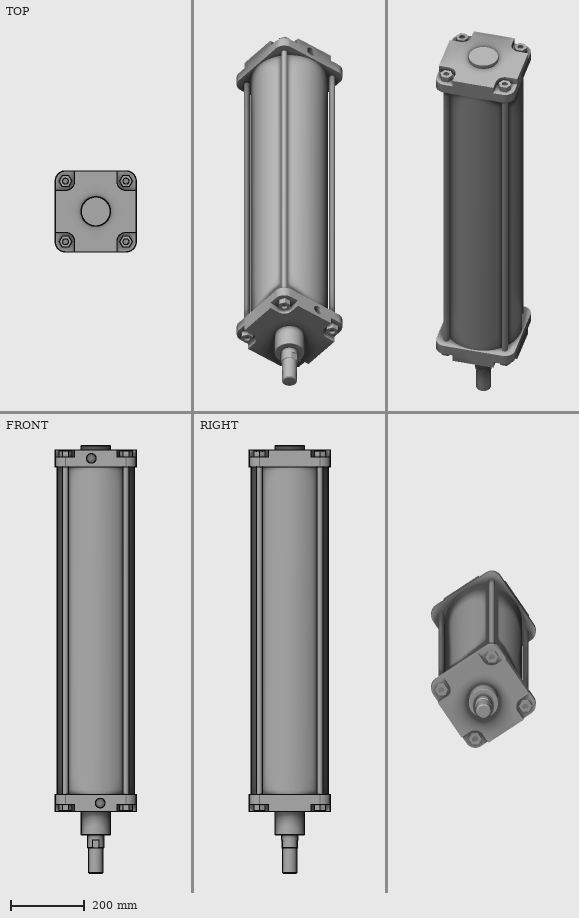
import cadquery as cq
import math


body_length = 980.0
front_cap_thickness = 47.0
rear_cap_thickness = 46.0
front_boss_length = 63.0
rear_boss_height = 12.0
barrel_length = body_length - front_cap_thickness - rear_cap_thickness

cap_width = 220.0
boss_diameter = 80.0
boss_chamfer = 1.0
barrel_diameter = 210.0

tie_rod_spacing = 164.0
tie_rod_diameter = 16.0
nut_flats = 30.0
nut_height = 16.0
tie_rod_projection = 8.0

pocket_depth = 19.0
pocket_radius = 25.0
corner_radius = (cap_width - tie_rod_spacing) / 2

port_diameter = 26.0
port_depth = 20.0
port_offset = 12.0

rod_diameter = 45.0
rod_round_length = 14.0
rod_flats = 41.0
rod_flats_length = 21.5
thread_diameter = 40.0
thread_length = 68.5
thread_chamfer = 3.0
shoulder_chamfer = 2.0

corner_signs = [(sx, sy) for sx in (-1, 1) for sy in (-1, 1)]
tie_rod_points = [(sx * tie_rod_spacing / 2, sy * tie_rod_spacing / 2) for sx, sy in corner_signs]


def round_bar(start, diameter, length):
    """Cylinder on the main axis that runs from z = start toward -Z."""
    return cq.Workplane("XY").workplane(offset=start).circle(diameter / 2).extrude(-length)


def corner_pocket(sx, sy):
    """Pocket around one nut, open to the two outer sides of the corner, floor at z = pocket_depth."""
    side = cap_width / 2 - tie_rod_spacing / 2 + pocket_radius
    center = cap_width / 2 - side / 2
    pocket = cq.Workplane("XY").box(side, side, pocket_depth, centered=(True, True, False))
    inner_edge = cq.selectors.NearestToPointSelector((-sx * side / 2, -sy * side / 2, pocket_depth / 2))
    pocket = pocket.edges("|Z").edges(inner_edge).fillet(pocket_radius)
    return pocket.translate((sx * center, sy * center, 0))


def end_cap(thickness, boss_length, port_x):
    """Cap with its outer face at z = 0, its boss toward -Z and its inner face at z = thickness."""
    cap = cq.Workplane("XY").rect(cap_width, cap_width).extrude(thickness)
    cap = cap.edges("|Z").fillet(corner_radius)
    boss = round_bar(0, boss_diameter, boss_length)
    cap = cap.union(boss.faces("<Z").chamfer(boss_chamfer))
    for sx, sy in corner_signs:
        cap = cap.cut(corner_pocket(sx, sy))
    holes = cq.Workplane("XY").pushPoints(tie_rod_points).circle(tie_rod_diameter / 2).extrude(thickness)
    cap = cap.cut(holes)
    port_plane = cq.Plane(origin=(port_x, -cap_width / 2, thickness / 2), xDir=(1, 0, 0), normal=(0, 1, 0))
    return cap.cut(cq.Workplane(port_plane).circle(port_diameter / 2).extrude(port_depth))


def tie_rod(x, y):
    """Tie rod through both caps, with a nut on each pocket floor; the rod ends inside the nut bores."""
    front_floor = pocket_depth
    rear_floor = body_length - pocket_depth
    rod_length = rear_floor - front_floor + 2 * tie_rod_projection
    rod = round_bar(rear_floor + tie_rod_projection, tie_rod_diameter, rod_length)
    nut_corners = nut_flats / math.cos(math.pi / 6)
    for nut_start in (front_floor - nut_height, rear_floor):
        nut = cq.Workplane("XY").workplane(offset=nut_start).polygon(6, nut_corners)
        nut = nut.circle(tie_rod_diameter / 2).extrude(nut_height)
        rod = rod.union(nut)
    return rod.translate((x, y, 0))


def piston_rod():
    """Rod end standing on the front boss: round part, wrench flats facing +Y and -Y, then thread."""
    flats_start = -front_boss_length - rod_round_length
    thread_start = flats_start - rod_flats_length
    rod = round_bar(-front_boss_length, rod_diameter, rod_round_length)
    flats_bar = cq.Workplane("XY").workplane(offset=flats_start).rect(rod_diameter, rod_flats)
    flats_bar = flats_bar.extrude(-rod_flats_length)
    flats = round_bar(flats_start, rod_diameter, rod_flats_length).faces("<Z").chamfer(shoulder_chamfer)
    thread = round_bar(thread_start, thread_diameter, thread_length).faces("<Z").chamfer(thread_chamfer)
    return rod.union(flats.intersect(flats_bar)).union(thread)


front_cap = end_cap(front_cap_thickness, front_boss_length, port_offset)

rear_cap = end_cap(rear_cap_thickness, rear_boss_height, port_offset)
rear_cap = rear_cap.rotate((0, 0, 0), (0, 1, 0), 180).translate((0, 0, body_length))

barrel = round_bar(front_cap_thickness + barrel_length, barrel_diameter, barrel_length)

rod_end = piston_rod()

tie_rods = [tie_rod(x, y).val() for x, y in tie_rod_points]

result = cq.Compound.makeCompound([front_cap.val(), rear_cap.val(), barrel.val(), rod_end.val(), *tie_rods])